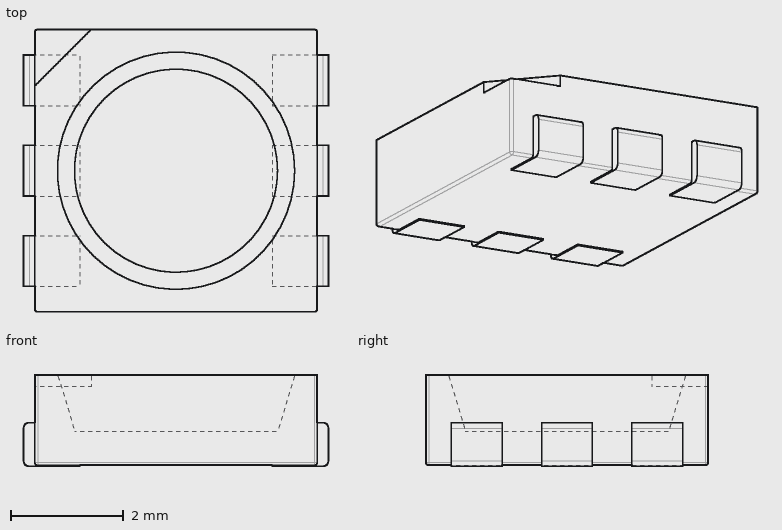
import cadquery as cq

overall_length = 5.4
overall_height = 1.62

body_side = 5.0
standoff = 0.02
body_height = overall_height - standoff
body_edge_radius = 0.05

cup_top_radius = 2.1
cup_floor_radius = 1.8
cup_depth = 1.0

mark_leg = 1.0
mark_depth = 0.2

leads_per_side = 3
lead_width = 0.9
lead_pitch = 1.6
lead_height = 0.78
lead_edge_radius = 0.1
foot_length = 1.0
lead_reach = (overall_length - body_side) / 2


def make_body():
    """Square block with rounded vertical and bottom edges and a sharp top."""
    block = cq.Workplane("XY").workplane(offset=standoff).rect(body_side, body_side).extrude(body_height)
    return block.edges("|Z or <Z").fillet(body_edge_radius)


def make_cup():
    """Conical volume removed from the top of the body."""
    floor_z = overall_height - cup_depth
    return cq.Workplane(cq.Solid.makeCone(cup_floor_radius, cup_top_radius, cup_depth, cq.Vector(0, 0, floor_z)))


def make_polarity_mark():
    """Triangular prism removed from one top corner."""
    corner = body_side / 2
    return (
        cq.Workplane("XY")
        .workplane(offset=overall_height - mark_depth)
        .moveTo(-corner, corner)
        .lineTo(-corner + mark_leg, corner)
        .lineTo(-corner, corner - mark_leg)
        .close()
        .extrude(mark_depth)
    )


def make_lead():
    """Lead on the -X side at Y = 0: a rounded outer tab and a thin foot under the body."""
    outer_x = -overall_length / 2
    tab_length = lead_reach + body_edge_radius
    tab = (
        cq.Workplane("XY")
        .box(tab_length, lead_width, lead_height, centered=(False, True, False))
        .edges("|Y and <X")
        .fillet(lead_edge_radius)
    )
    foot = (
        cq.Workplane("XY")
        .box(foot_length - lead_edge_radius, lead_width, standoff, centered=(False, True, False))
        .translate((lead_edge_radius, 0, 0))
    )
    return tab.union(foot).translate((outer_x, 0, 0))


result = make_body().cut(make_cup()).cut(make_polarity_mark())

left_lead = make_lead()
right_lead = left_lead.mirror("YZ")
for index in range(leads_per_side):
    lead_y = (index - (leads_per_side - 1) / 2) * lead_pitch
    result = result.union(left_lead.translate((0, lead_y, 0)))
    result = result.union(right_lead.translate((0, lead_y, 0)))